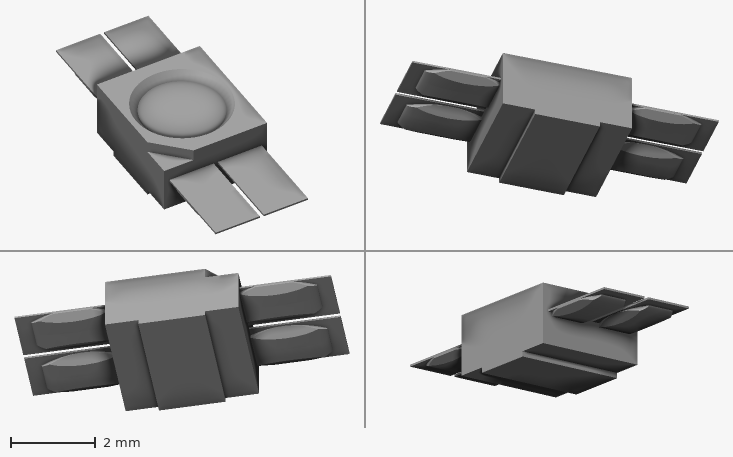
import cadquery as cq

housing_length = 3.2
housing_width = 2.8
block_height = 1.5
foot_height = 0.13
foot_length = 1.6
housing_top = foot_height + block_height

recess_rim_diameter = 2.5
recess_floor_diameter = 2.1
recess_depth = 0.2

notch_leg = 0.8
notch_depth = 0.3

overall_length = 7.59
lead_width = 1.2
lead_gap = 0.11
lead_thickness = 0.05
lead_top_below_housing_top = 0.64
lead_top = housing_top - lead_top_below_housing_top
lead_bottom = lead_top - lead_thickness
lead_length = (overall_length - housing_length) / 2
lead_center_x = (housing_length + lead_length) / 2
lead_center_y = (lead_gap + lead_width) / 2

mound_half_length = 1.01
mound_depth = 0.17
mound_center_x = 2.42
mound_center_y = 0.7
mound_top_half_width = 0.6
mound_floor_half_width = 0.35


def make_housing():
    block = cq.Workplane("XY").workplane(offset=foot_height).box(
        housing_length, housing_width, block_height, centered=(True, True, False)
    )
    foot = cq.Workplane("XY").box(
        foot_length, housing_width, foot_height, centered=(True, True, False)
    )
    recess = (
        cq.Workplane("XY")
        .workplane(offset=housing_top - recess_depth)
        .circle(recess_floor_diameter / 2)
        .workplane(offset=recess_depth)
        .circle(recess_rim_diameter / 2)
        .loft()
    )
    corner_x = housing_length / 2
    corner_y = -housing_width / 2
    notch = (
        cq.Workplane("XY")
        .workplane(offset=housing_top - notch_depth)
        .moveTo(corner_x, corner_y)
        .lineTo(corner_x, corner_y + notch_leg)
        .lineTo(corner_x - notch_leg, corner_y)
        .close()
        .extrude(notch_depth)
    )
    return block.union(foot).cut(recess).cut(notch)


def make_lead_slab(bottom, height):
    """Block with the outline of the +X, +Y lead."""
    return (
        cq.Workplane("XY")
        .workplane(offset=bottom)
        .center(lead_center_x, lead_center_y)
        .rect(lead_length, lead_width)
        .extrude(height)
    )


def make_mound():
    """Solder under the +X, +Y lead, trimmed to the lead outline."""
    length_profile = (
        cq.Workplane("XZ", origin=(mound_center_x, mound_center_y, lead_bottom))
        .ellipse(mound_half_length, mound_depth)
        .extrude(mound_top_half_width, both=True)
    )
    cross_section = (
        cq.Workplane("YZ", origin=(mound_center_x, mound_center_y, lead_bottom))
        .moveTo(-mound_top_half_width, 0)
        .lineTo(-mound_floor_half_width, -mound_depth)
        .lineTo(mound_floor_half_width, -mound_depth)
        .lineTo(mound_top_half_width, 0)
        .close()
        .extrude(mound_half_length, both=True)
    )
    footprint = (
        cq.Workplane("XY", origin=(mound_center_x, mound_center_y, lead_bottom))
        .moveTo(mound_half_length, -mound_floor_half_width)
        .lineTo(mound_half_length, mound_floor_half_width)
        .threePointArc((0, mound_top_half_width), (-mound_half_length, mound_floor_half_width))
        .lineTo(-mound_half_length, -mound_floor_half_width)
        .threePointArc((0, -mound_top_half_width), (mound_half_length, -mound_floor_half_width))
        .close()
        .extrude(-mound_depth)
    )
    trim = make_lead_slab(lead_bottom, -mound_depth)
    return length_profile.intersect(cross_section).intersect(footprint).intersect(trim)


def at_four_corners(body):
    """Copies of a +X, +Y body, mirrored into each quadrant."""
    copies = []
    for end_copy in (body, body.mirror("YZ")):
        for copy in (end_copy, end_copy.mirror("XZ")):
            copies.append(copy.solids().val())
    return copies


housing = make_housing()
leads = at_four_corners(make_lead_slab(lead_bottom, lead_thickness))
mounds = at_four_corners(make_mound())

result = cq.Compound.makeCompound([housing.solids().val(), *leads, *mounds])